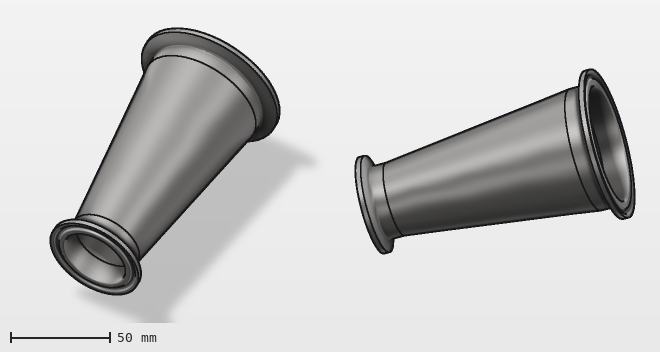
import cadquery as cq
import math

overall_length = 127.0
ferrule_length = 12.7
wall = 1.65
small_tube_radius = 38.1 / 2
small_flange_radius = 50.4 / 2
large_tube_radius = 63.5 / 2
large_flange_radius = 77.39 / 2

rim_thickness = 2.85
flange_back_angle = math.radians(20)
neck_fillet = 1.6
bore_edge_fillet = 0.8

groove_centre_inset = 3.4
groove_depth = 1.6
groove_floor_radius = 1.2
groove_flank_angle = math.radians(23)
groove_mouth_fillet = 0.6

floor_half_width = groove_floor_radius * math.cos(groove_flank_angle)
flank_depth = groove_depth - groove_floor_radius * (1 - math.sin(groove_flank_angle))
mouth_half_width = floor_half_width + flank_depth * math.tan(groove_flank_angle)

small_face_y = -overall_length / 2
large_face_y = overall_length / 2
small_joint_y = small_face_y + ferrule_length
large_joint_y = large_face_y - ferrule_length


def ring_edges(body, radius, y):
    """Circular edges of the given radius in the plane across the axis at y."""
    tolerance = 0.001
    reach = radius + tolerance
    slab = cq.selectors.BoxSelector(
        (-reach, y - tolerance, -reach), (reach, y + tolerance, reach), boundingbox=True
    )
    near = body.edges(slab)
    return near.edges("%CIRCLE").filter(lambda edge: abs(edge.radius() - radius) < tolerance)


def make_ferrule(tube_radius, flange_radius, face_y, inward):
    """Flanged tube end with its face at face_y; inward is +1 or -1 along Y."""

    def at_depth(depth):
        return face_y + inward * depth

    bore_radius = tube_radius - wall
    flange_root_depth = rim_thickness + (flange_radius - tube_radius) * math.tan(flange_back_angle)
    body = (
        cq.Workplane("YZ")
        .moveTo(at_depth(0), bore_radius)
        .lineTo(at_depth(0), flange_radius)
        .lineTo(at_depth(rim_thickness), flange_radius)
        .lineTo(at_depth(flange_root_depth), tube_radius)
        .lineTo(at_depth(ferrule_length), tube_radius)
        .lineTo(at_depth(ferrule_length), bore_radius)
        .close()
        .revolve(360, (0, 0), (1, 0))
    )

    groove_radius = flange_radius - groove_centre_inset
    groove = (
        cq.Workplane("YZ")
        .moveTo(at_depth(0), groove_radius - mouth_half_width)
        .lineTo(at_depth(flank_depth), groove_radius - floor_half_width)
        .threePointArc(
            (at_depth(groove_depth), groove_radius),
            (at_depth(flank_depth), groove_radius + floor_half_width),
        )
        .lineTo(at_depth(0), groove_radius + mouth_half_width)
        .close()
        .revolve(360, (0, 0), (1, 0))
    )
    body = body.cut(groove)

    body = ring_edges(body, tube_radius, at_depth(flange_root_depth)).fillet(neck_fillet)
    body = ring_edges(body, bore_radius, at_depth(0)).fillet(bore_edge_fillet)
    for mouth_edge_radius in (groove_radius - mouth_half_width, groove_radius + mouth_half_width):
        body = ring_edges(body, mouth_edge_radius, at_depth(0)).fillet(groove_mouth_fillet)
    return body


def make_cone():
    """Conical tube that joins the two ferrules end to end."""
    return (
        cq.Workplane("YZ")
        .moveTo(small_joint_y, small_tube_radius - wall)
        .lineTo(small_joint_y, small_tube_radius)
        .lineTo(large_joint_y, large_tube_radius)
        .lineTo(large_joint_y, large_tube_radius - wall)
        .close()
        .revolve(360, (0, 0), (1, 0))
    )


small_ferrule = make_ferrule(small_tube_radius, small_flange_radius, small_face_y, 1)
large_ferrule = make_ferrule(large_tube_radius, large_flange_radius, large_face_y, -1)
cone = make_cone()

result = cq.Compound.makeCompound([small_ferrule.val(), cone.val(), large_ferrule.val()])